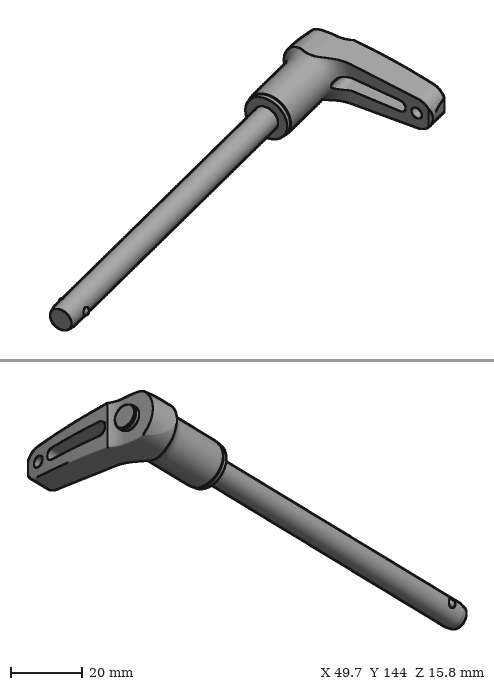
import cadquery as cq
import math


total_length = 144.0
shank_length = 108.0
button_top = total_length - shank_length

shank_radius = 4.0
tip_radius = 3.6
tip_taper_length = 2.0
ball_radius = 1.4
ball_reach = 4.85
ball_from_tip = 6.9

collar_radius = 7.36
collar_rim_radius = 7.25
collar_step_radius = 7.0
collar_step_length = 1.55
collar_rim_length = 1.3
collar_top = 20.1
flare_radius = 5.75

button_radius = 3.8
button_top_radius = 3.6
button_taper_length = 0.6

half_width = 7.91
head_end = -9.97
head_arc_end = (-3.05, 7.84)
flat_start = -0.95
flat_end = 0.5
grip_end = 39.73
grip_end_radius = 5.3

head_top = 34.05
head_top_bend = 2.0
grip_top_start = (6.7, 35.45)
grip_top_middle = (21.9, 34.6)
grip_top_end = (39.0, 32.2)
grip_lower_corner = (grip_end, 25.0)
grip_underside_end = (38.6, 24.45)
underside_height = collar_top + flare_radius
underside_bend = 11.5
top_edge_break = 0.4

cone_top_radius = 8.85
cone_bottom_radius = -head_end
cone_bottom = 25.1

slot_start_x = 10.0
slot_start_radius = 2.35
slot_end_x = 28.7
slot_end_radius = 1.95
hole_x = 34.5
hole_radius = 1.8


def revolve_about_pin(points):
    """Turn a closed outline of (radius, height) points about the Y axis."""
    return cq.Workplane("XY").polyline(points).close().revolve(360, (0, 0, 0), (0, 1, 0))


def xz_outline(start):
    """Start a sketch at (x, z) on the plane whose extrusion runs along +Y."""
    return cq.Workplane(cq.Plane((0, 0, 0), (1, 0, 0), (0, 1, 0))).moveTo(*start)


def tapered_capsule(x1, r1, x2, r2, height):
    """Two arcs joined by their common tangents, extruded along +Y."""
    sine = (r1 - r2) / (x2 - x1)
    cosine = math.sqrt(1 - sine**2)
    return (
        xz_outline((x1 + r1 * sine, r1 * cosine))
        .threePointArc((x1 - r1, 0), (x1 + r1 * sine, -r1 * cosine))
        .lineTo(x2 + r2 * sine, -r2 * cosine)
        .threePointArc((x2 + r2, 0), (x2 + r2 * sine, r2 * cosine))
        .close()
        .extrude(height)
    )


def make_handle_prism():
    """Plan shape of the handle, full height."""
    end_x = grip_end - grip_end_radius
    run = end_x - flat_end
    distance = math.hypot(run, half_width)
    angle = math.atan2(half_width, run)
    tangent_angle = math.pi - angle - math.acos(grip_end_radius / distance)
    tangent_x = end_x + grip_end_radius * math.cos(tangent_angle)
    tangent_z = grip_end_radius * math.sin(tangent_angle)
    arc_x, arc_z = head_arc_end
    return (
        xz_outline((arc_x, arc_z))
        .threePointArc((head_end, 0), (arc_x, -arc_z))
        .lineTo(flat_start, -half_width)
        .lineTo(flat_end, -half_width)
        .lineTo(tangent_x, -tangent_z)
        .threePointArc((grip_end, 0), (tangent_x, tangent_z))
        .lineTo(flat_end, half_width)
        .lineTo(flat_start, half_width)
        .close()
        .extrude(button_top)
    )


def make_handle_profile():
    """Side shape of the handle, extruded over its full width."""
    return (
        cq.Workplane("XY")
        .moveTo(head_end, head_top)
        .lineTo(head_top_bend, head_top)
        .tangentArcPoint(grip_top_start, relative=False)
        .threePointArc(grip_top_middle, grip_top_end)
        .lineTo(*grip_lower_corner)
        .lineTo(*grip_underside_end)
        .lineTo(underside_bend, underside_height)
        .lineTo(head_end, underside_height)
        .close()
        .extrude(half_width, both=True)
    )


def make_flare():
    """Concave round between the collar and the underside of the handle."""
    outer_radius = collar_radius + flare_radius
    diagonal = flare_radius * math.sqrt(0.5)
    return (
        cq.Workplane("XY")
        .moveTo(0, collar_top)
        .lineTo(collar_radius, collar_top)
        .threePointArc(
            (outer_radius - diagonal, collar_top + diagonal),
            (outer_radius, underside_height),
        )
        .lineTo(0, underside_height)
        .close()
        .revolve(360, (0, 0, 0), (0, 1, 0))
    )


def make_back_trim():
    """Material behind the head, outside the cone."""
    slope = (cone_bottom_radius - cone_top_radius) / (head_top - cone_bottom)
    radius_at_top = cone_bottom_radius - slope * (button_top - cone_bottom)
    cone = revolve_about_pin([
        (0, cone_bottom),
        (cone_bottom_radius, cone_bottom),
        (radius_at_top, button_top),
        (0, button_top),
    ])
    block_size = -2 * head_end
    block = (
        cq.Workplane("XY")
        .box(block_size, button_top - cone_bottom, block_size, centered=(True, False, True))
        .translate((-block_size / 2, cone_bottom, 0))
    )
    return block.cut(cone)


def round_top_edges(handle):
    """Break the two long upper edges, from the head along the grip to its tip."""
    tip_x, tip_height = grip_top_end
    upper_region = cq.selectors.BoxSelector(
        (head_arc_end[0], tip_height, -half_width),
        (tip_x, button_top, half_width),
    )

    def runs_along_side(edge):
        crosses_grip = abs(edge.Center().z) < grip_end_radius / 2
        is_upright = abs(edge.startPoint().x - edge.endPoint().x) < top_edge_break
        return not crosses_grip and not is_upright

    return handle.edges(upper_region).filter(runs_along_side).fillet(top_edge_break)


def make_handle():
    prism = make_handle_prism()
    handle = prism.intersect(make_handle_profile())
    handle = round_top_edges(handle)
    handle = handle.union(make_flare().intersect(prism))
    handle = handle.cut(make_back_trim())
    slot = tapered_capsule(
        slot_start_x, slot_start_radius, slot_end_x, slot_end_radius, button_top
    )
    hole = xz_outline((hole_x, 0)).circle(hole_radius).extrude(button_top)
    return handle.cut(slot).cut(hole)


def make_pin():
    """Shank, collar and push button as one turned body."""
    rim_end = collar_step_length + collar_rim_length
    return revolve_about_pin([
        (0, -shank_length),
        (tip_radius, -shank_length),
        (shank_radius, tip_taper_length - shank_length),
        (shank_radius, 0),
        (collar_step_radius, 0),
        (collar_step_radius, collar_step_length),
        (collar_rim_radius, collar_step_length),
        (collar_radius, rim_end),
        (collar_radius, underside_height),
        (button_radius, underside_height),
        (button_radius, button_top - button_taper_length),
        (button_top_radius, button_top),
        (0, button_top),
    ])


def make_ball(side):
    center = (side * (ball_reach - ball_radius), ball_from_tip - shank_length, 0)
    return cq.Workplane("XY").sphere(ball_radius).translate(center)


result = make_handle().union(make_pin())
for side in (-1, 1):
    result = result.union(make_ball(side))